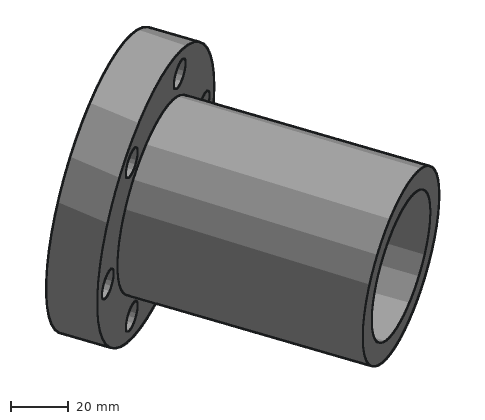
import cadquery as cq

total_length = 110.0
flange_diameter = 110.0
flange_thickness = 19.0
body_diameter = 72.0
bore_diameter = 55.0

hole_count = 6
hole_diameter = 11.0
bolt_circle_diameter = 90.0


def cylinder_along_x(diameter, length):
    """Solid cylinder centred on the X axis, starting at the flange face."""
    return cq.Workplane("YZ").circle(diameter / 2).extrude(length)


def mounting_holes():
    """Cutters for through holes evenly spaced on the bolt circle, the first on the Y axis."""
    return (
        cq.Workplane("YZ")
        .polarArray(bolt_circle_diameter / 2, 0, 360, hole_count)
        .circle(hole_diameter / 2)
        .extrude(flange_thickness)
    )


flange = cylinder_along_x(flange_diameter, flange_thickness)
body = cylinder_along_x(body_diameter, total_length)
bore = cylinder_along_x(bore_diameter, total_length)

result = flange.union(body).cut(bore).cut(mounting_holes())